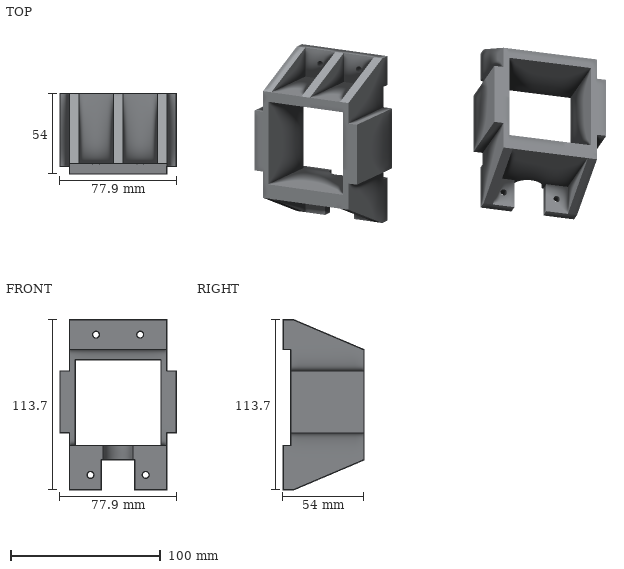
import cadquery as cq

total_width = 77.9
total_depth = 54.0
total_height = 113.69

rail_thickness = 6.4
box_width = total_width - 2 * rail_thickness
window_size = 57.0
front_setback = 5.0

plate_height = 20.0
plate_thickness = 7.0
box_bottom = plate_height
box_top = total_height - plate_height
floor_thickness = 9.8
window_bottom = box_bottom + floor_thickness

gusset_width = 6.4
side_gusset_x = (box_width - gusset_width) / 2
top_gusset_positions = (-side_gusset_x, 0, side_gusset_x)
bottom_gusset_positions = (-side_gusset_x, side_gusset_x)

rail_height = 41.4
rail_bottom = 38.1

screw_diameter = 4.4
screw_edge_distance = 10.0
top_screw_spacing = 29.5
bottom_screw_spacing = 36.9
slot_width = 22.2
notch_radius = 10.0


def block(width, y_start, y_end, z_start, z_end, x_center=0):
    """Axis-aligned block centred on x_center."""
    size_y = y_end - y_start
    size_z = z_end - z_start
    corner = (x_center - width / 2, y_start, z_start)
    return cq.Workplane("XY").box(width, size_y, size_z, centered=False).translate(corner)


def gusset(x_center, box_z, plate_edge_z):
    """Triangular rib from the plate's outer edge to the back edge of the box."""
    return (
        cq.Workplane("YZ")
        .moveTo(plate_thickness, box_z)
        .lineTo(total_depth, box_z)
        .lineTo(plate_thickness, plate_edge_z)
        .close()
        .extrude(gusset_width / 2, both=True)
        .translate((x_center, 0, 0))
    )


def screw_holes(spacing, z):
    """Pair of holes running through a mounting plate along Y."""
    return (
        cq.Workplane("XZ", origin=(0, 0, z))
        .pushPoints([(-spacing / 2, 0), (spacing / 2, 0)])
        .circle(screw_diameter / 2)
        .extrude(-plate_thickness)
    )


body = block(box_width, front_setback, total_depth, box_bottom, box_top)
body = body.union(block(box_width, 0, total_depth, box_bottom, window_bottom))

body = body.union(block(box_width, 0, plate_thickness, box_top, total_height))
body = body.union(block(box_width, 0, plate_thickness, 0, box_bottom))

for x in top_gusset_positions:
    body = body.union(gusset(x, box_top, total_height))
for x in bottom_gusset_positions:
    body = body.union(gusset(x, box_bottom, 0))

rail_center_x = (box_width + rail_thickness) / 2
for x in (-rail_center_x, rail_center_x):
    rail = block(rail_thickness, front_setback, total_depth, rail_bottom, rail_bottom + rail_height, x)
    body = body.union(rail)

body = body.cut(block(window_size, 0, total_depth, window_bottom, window_bottom + window_size))

body = body.cut(
    cq.Workplane("XY", origin=(0, 0, box_bottom)).circle(notch_radius).extrude(floor_thickness)
)

body = body.cut(block(slot_width, 0, plate_thickness, 0, box_bottom))

body = body.cut(screw_holes(top_screw_spacing, total_height - screw_edge_distance))
body = body.cut(screw_holes(bottom_screw_spacing, screw_edge_distance))

result = body